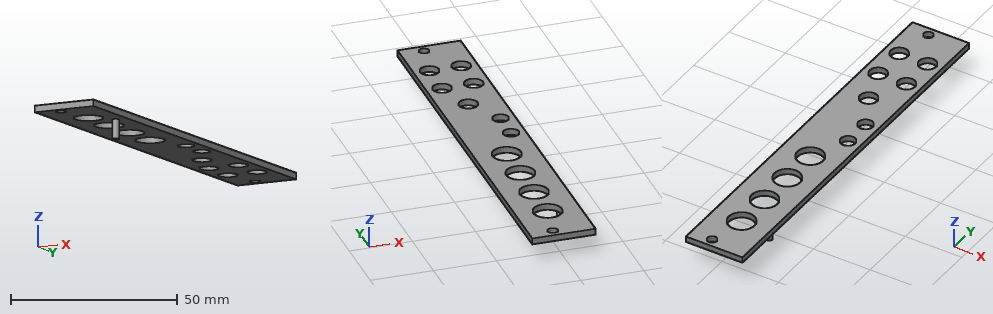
import cadquery as cq

PANEL_WIDTH = 20.0
PANEL_LENGTH = 128.5
PANEL_THICKNESS = 2.0

SCREW_HOLE_DIAMETER = 3.2
SCREW_HOLE_X = -2.6
SCREW_HOLE_Y = 61.3

JACK_HOLE_DIAMETER = 5.9
JACK_COLUMN_X = 5.0
JACK_ROWS_Y = (36.8, 48.7)
SINGLE_JACK_CENTRE = (-0.8, 24.5)

INDICATOR_HOLE_DIAMETER = 5.0
INDICATOR_X = 5.5
INDICATOR_ROWS_Y = (2.8, 12.7)

LARGE_HOLE_DIAMETER = 9.0
LARGE_HOLE_COUNT = 4
LARGE_HOLE_PITCH = 13.0
FIRST_LARGE_HOLE_Y = -9.8

OVERALL_HEIGHT = 8.0
PIN_DIAMETER = 2.2
PIN_LENGTH = OVERALL_HEIGHT - PANEL_THICKNESS
PIN_CENTRE = (6.0, -42.7)


def drill(plate, centres, diameter):
    """Cut round through holes into the plate at the given XY centres."""
    cutters = (
        cq.Workplane("XY")
        .pushPoints(centres)
        .circle(diameter / 2)
        .extrude(PANEL_THICKNESS)
    )
    return plate.cut(cutters)


def make_panel():
    plate = cq.Workplane("XY").box(
        PANEL_WIDTH, PANEL_LENGTH, PANEL_THICKNESS, centered=(True, True, False)
    )

    screw_holes = [(SCREW_HOLE_X, side * SCREW_HOLE_Y) for side in (-1, 1)]
    plate = drill(plate, screw_holes, SCREW_HOLE_DIAMETER)

    jack_holes = [(side * JACK_COLUMN_X, y) for side in (-1, 1) for y in JACK_ROWS_Y]
    plate = drill(plate, jack_holes + [SINGLE_JACK_CENTRE], JACK_HOLE_DIAMETER)

    indicator_holes = [(INDICATOR_X, y) for y in INDICATOR_ROWS_Y]
    plate = drill(plate, indicator_holes, INDICATOR_HOLE_DIAMETER)

    large_holes = [
        (0, FIRST_LARGE_HOLE_Y - index * LARGE_HOLE_PITCH)
        for index in range(LARGE_HOLE_COUNT)
    ]
    return drill(plate, large_holes, LARGE_HOLE_DIAMETER)


def make_pin():
    return (
        cq.Workplane("XY")
        .center(*PIN_CENTRE)
        .circle(PIN_DIAMETER / 2)
        .extrude(-PIN_LENGTH)
    )


panel = make_panel()
pin = make_pin()

result = cq.Compound.makeCompound([panel.solids().val(), pin.val()])